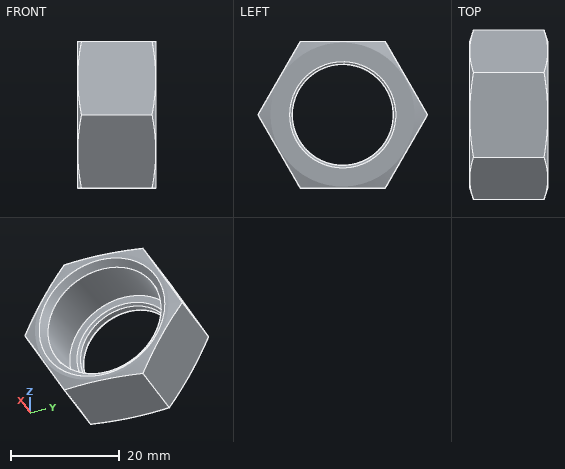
import cadquery as cq
import math

NUT_LENGTH = 14.5
ACROSS_FLATS = 27.0
ACROSS_CORNERS = ACROSS_FLATS / math.cos(math.radians(30))

FACE_DIAMETER = 26.45
CORNER_CHAMFER_LENGTH = 0.77

ENTRY_DIAMETER = 18.5
ENTRY_CHAMFER = 0.5
SHOULDER_DEPTH = 2.6
MAIN_BORE_DIAMETER = 22.38
EXIT_CHAMFER = 1.25


def revolve_about_x(half_profile):
    """Solid of revolution about X from (x, radius) points, closed along the axis."""
    first_x = half_profile[0][0]
    last_x = half_profile[-1][0]
    points = [(first_x, 0), *half_profile, (last_x, 0)]
    return cq.Workplane("XY").polyline(points).close().revolve(360, (0, 0, 0), (1, 0, 0))


def hexagonal_prism():
    """Hexagon with corners on +Y and -Y and flats on +Z and -Z."""
    return cq.Workplane("YZ").polygon(6, ACROSS_CORNERS).extrude(NUT_LENGTH)


def chamfer_envelope():
    """Double-ended cone frustum that just reaches the hexagon corners."""
    face_radius = FACE_DIAMETER / 2
    corner_radius = ACROSS_CORNERS / 2
    return revolve_about_x([
        (0, face_radius),
        (CORNER_CHAMFER_LENGTH, corner_radius),
        (NUT_LENGTH - CORNER_CHAMFER_LENGTH, corner_radius),
        (NUT_LENGTH, face_radius),
    ])


def stepped_bore():
    """Entry hole chamfered at both rims, square shoulder, then the main bore with its exit chamfer."""
    entry_radius = ENTRY_DIAMETER / 2
    main_radius = MAIN_BORE_DIAMETER / 2
    return revolve_about_x([
        (0, entry_radius + ENTRY_CHAMFER),
        (ENTRY_CHAMFER, entry_radius),
        (SHOULDER_DEPTH - ENTRY_CHAMFER, entry_radius),
        (SHOULDER_DEPTH, entry_radius + ENTRY_CHAMFER),
        (SHOULDER_DEPTH, main_radius),
        (NUT_LENGTH - EXIT_CHAMFER, main_radius),
        (NUT_LENGTH, main_radius + EXIT_CHAMFER),
    ])


result = hexagonal_prism().intersect(chamfer_envelope()).cut(stepped_bore())